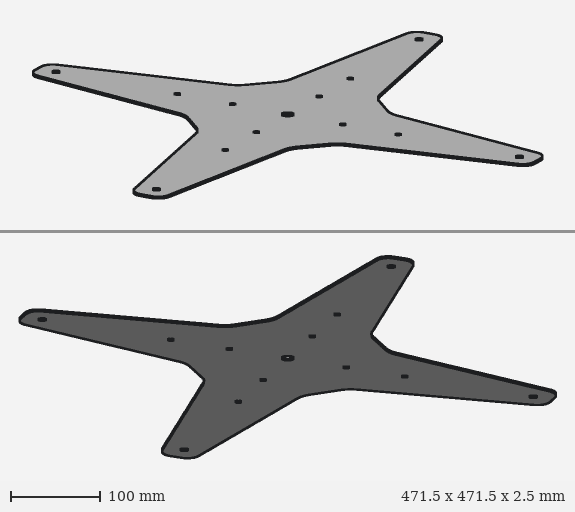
import cadquery as cq
import math

overall_size = 471.5
thickness = 2.5

hub_half_width = 110.5
arm_taper_angle = 9.8
tip_half_width = 20.0
tip_radius = 15.0
root_radius = 30.0

centre_hole_diameter = 13.0
tip_hole_diameter = 8.0
mount_hole_diameter = 6.0
mount_hole_offset = 50.0
tip_hole_offset = 210.0

hole_sets = [
    (mount_hole_offset, mount_hole_diameter),
    (2 * mount_hole_offset, mount_hole_diameter),
    (tip_hole_offset, tip_hole_diameter),
]

half_corner_angle = math.radians((90 + arm_taper_angle) / 2)
corner_tilt = math.radians(arm_taper_angle / 2)
tip_overshoot = tip_radius * (math.cos(corner_tilt) / math.sin(half_corner_angle) - 1)

tip_y = overall_size / 2 + tip_overshoot
tip_x = tip_y - math.sqrt(2) * tip_half_width
side_slope = math.tan(math.radians(45 - arm_taper_angle))
root_x = tip_x - (tip_y - hub_half_width) / side_slope


def quarter_turns(points, turns):
    """Turn points about the centre by a number of quarter turns."""
    for _ in range(turns):
        points = [(-y, x) for x, y in points]
    return points


def round_corners(plate, corner, radius):
    """Round the eight upright edges that match one corner by symmetry."""
    distance = math.hypot(*corner)
    margin = 0.5
    edges = plate.edges("|Z").filter(
        lambda edge: abs(math.hypot(edge.Center().x, edge.Center().y) - distance) < margin
    )
    return plate.newObject(edges.vals()).fillet(radius)


def make_plate():
    arm = [
        (hub_half_width, root_x),
        (tip_y, tip_x),
        (tip_x, tip_y),
        (root_x, hub_half_width),
    ]
    outline = []
    for turns in range(4):
        outline += quarter_turns(arm, turns)
    plate = cq.Workplane("XY").polyline(outline).close().extrude(thickness)
    plate = round_corners(plate, (tip_x, tip_y), tip_radius)
    return round_corners(plate, (root_x, hub_half_width), root_radius)


def drill_holes(plate):
    plate = plate.faces(">Z").workplane(origin=(0, 0, thickness)).hole(centre_hole_diameter)
    for offset, diameter in hole_sets:
        spacing = 2 * offset
        plate = (
            plate.faces(">Z")
            .workplane(origin=(0, 0, thickness))
            .rarray(spacing, spacing, 2, 2)
            .hole(diameter)
        )
    return plate


result = drill_holes(make_plate())